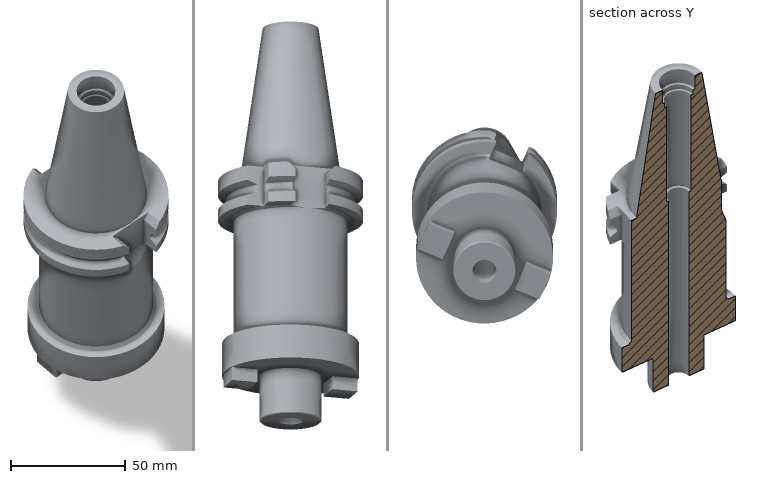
import cadquery as cq

total_length = 178.4
gauge_z = 110.0
flange_top_z = 109.0
flange_bottom_z = 91.2
body_top_z = 90.3
body_bottom_z = 36.8
collar_top_z = 35.3
collar_bottom_z = 20.3
key_bottom_z = 14.5

taper_small_radius = 12.3
gauge_diameter = 44.5
flange_radius = 31.8
body_radius = 25.0
flare_radius = 26.4
collar_radius = 30.0
pilot_radius = 13.5
pilot_chamfer = 0.4

groove_radius = 28.2
groove_center_z = 99.0
groove_mouth_width = 7.0
groove_floor_width = 3.4

slot_width = 15.7
slot_chamfer = 2.9
left_slot_x = 25.0
right_slot_x = 22.7
slot_runout_z = 83.3
notch_offset = 18.5

key_width = 12.5
key_inner_y = 17.3
key_outer_y = 28.9

through_diameter = 10.5
bore_steps = [(17.0, 8.0), (14.6, 10.7), (12.8, 67.8)]


def turned_blank():
    """Revolve the whole outer profile about Z."""
    profile = [
        (0, 0),
        (pilot_radius - pilot_chamfer, 0),
        (pilot_radius, pilot_chamfer),
        (pilot_radius, collar_bottom_z),
        (collar_radius, collar_bottom_z),
        (collar_radius, collar_top_z),
        (flare_radius, collar_top_z),
        (body_radius, body_bottom_z),
        (body_radius, body_top_z),
        (flare_radius, flange_bottom_z),
        (flange_radius, flange_bottom_z),
        (flange_radius, groove_center_z - groove_mouth_width / 2),
        (groove_radius, groove_center_z - groove_floor_width / 2),
        (groove_radius, groove_center_z + groove_floor_width / 2),
        (flange_radius, groove_center_z + groove_mouth_width / 2),
        (flange_radius, flange_top_z),
        (gauge_diameter / 2, flange_top_z),
        (gauge_diameter / 2, gauge_z),
        (taper_small_radius, total_length),
        (0, total_length),
    ]
    return cq.Workplane("XZ").polyline(profile).close().revolve(360, (0, 0), (0, 1))


def drive_slot(side, floor_x):
    """Cutter for one slot, chamfered at the top; side is -1 for -X and +1 for +X."""
    half = slot_width / 2
    wide = half + slot_chamfer
    outline = [
        (-half, body_top_z),
        (half, body_top_z),
        (half, flange_top_z - slot_chamfer),
        (wide, flange_top_z),
        (-wide, flange_top_z),
        (-half, flange_top_z - slot_chamfer),
    ]
    slot = cq.Workplane("YZ", origin=(side * floor_x, 0, 0)).polyline(outline).close()
    return slot.extrude(side * flange_radius)


def slot_runout():
    """Wedge that lets the deeper +X slot run out down the body."""
    outline = [
        (right_slot_x, body_top_z),
        (body_radius, slot_runout_z),
        (flange_radius, slot_runout_z),
        (flange_radius, body_top_z),
    ]
    return cq.Workplane("XZ").polyline(outline).close().extrude(slot_width / 2, both=True)


def orientation_notch():
    """Square corner cut through the flange at -X, +Y."""
    return cq.Workplane("XY").box(
        flange_radius, flange_radius, flange_top_z - body_top_z, centered=False
    ).translate((-notch_offset - flange_radius, notch_offset, body_top_z))


def drive_key(side):
    """Block under the collar; side is -1 for -Y and +1 for +Y."""
    key = cq.Workplane("XY").box(
        key_width, key_outer_y - key_inner_y, collar_top_z - key_bottom_z, centered=(True, True, False)
    )
    return key.translate((0, side * (key_inner_y + key_outer_y) / 2, key_bottom_z))


def stepped_bore():
    """Through hole widened in steps from the small end of the taper."""
    bore = cq.Workplane("XY").circle(through_diameter / 2).extrude(total_length)
    for diameter, depth in bore_steps:
        step = cq.Workplane("XY", origin=(0, 0, total_length - depth)).circle(diameter / 2).extrude(depth)
        bore = bore.union(step)
    return bore


result = turned_blank()
result = result.cut(drive_slot(-1, left_slot_x)).cut(drive_slot(1, right_slot_x))
result = result.cut(slot_runout()).cut(orientation_notch())
for key_side in (-1, 1):
    result = result.union(drive_key(key_side))
result = result.cut(stepped_bore())